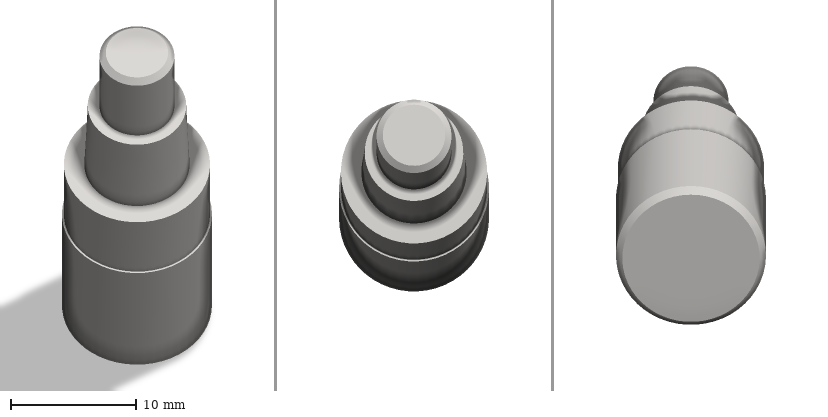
import cadquery as cq

housing_diameter = 12.0
housing_height = 19.07
neck_diameter = 11.7
neck_base_z = 12.6
housing_chamfer_width = 0.5
housing_chamfer_height = 0.6

total_height = 33.7
collar_base_diameter = 8.42
collar_top_diameter = 7.9
collar_top_z = 26.75
tip_diameter = 6.0
tip_chamfer_width = 0.5
tip_chamfer_height = 0.45


def revolve_about_z(outline):
    """Turn a half outline of (radius, z) points into a round solid about Z."""
    return cq.Workplane("XZ").polyline(outline).close().revolve(360, (0, 0), (0, 1))


def make_housing():
    outer_radius = housing_diameter / 2
    neck_radius = neck_diameter / 2
    return revolve_about_z([
        (0, 0),
        (outer_radius - housing_chamfer_width, 0),
        (outer_radius, housing_chamfer_height),
        (outer_radius, neck_base_z),
        (neck_radius, neck_base_z),
        (neck_radius, housing_height),
        (0, housing_height),
    ])


def make_plunger():
    """The plunger rests on the flat top of the housing."""
    tip_radius = tip_diameter / 2
    return revolve_about_z([
        (0, housing_height),
        (collar_base_diameter / 2, housing_height),
        (collar_top_diameter / 2, collar_top_z),
        (tip_radius, collar_top_z),
        (tip_radius, total_height - tip_chamfer_height),
        (tip_radius - tip_chamfer_width, total_height),
        (0, total_height),
    ])


housing = make_housing()
plunger = make_plunger()
result = cq.Compound.makeCompound([housing.val(), plunger.val()])